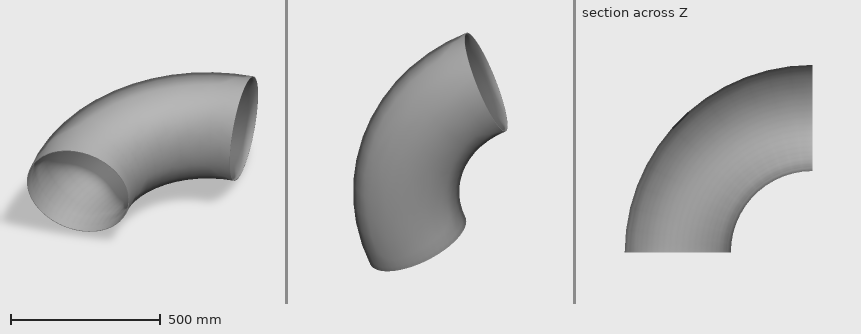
import cadquery as cq

overall_length = 627.5
pipe_diameter = 355.0
wall_thickness = 2.5
bend_angle = 90.0

outer_radius = pipe_diameter / 2
inner_radius = outer_radius - wall_thickness
bend_radius = overall_length - outer_radius


def pipe_elbow():
    """Revolve the ring-shaped pipe section about Z, from the -X end to the +Y end."""
    ring = (
        cq.Workplane("XZ")
        .center(-bend_radius, 0)
        .circle(outer_radius)
        .circle(inner_radius)
    )
    axis_start = (bend_radius, 0)
    axis_end = (bend_radius, -1)
    return ring.revolve(bend_angle, axis_start, axis_end)


result = pipe_elbow()